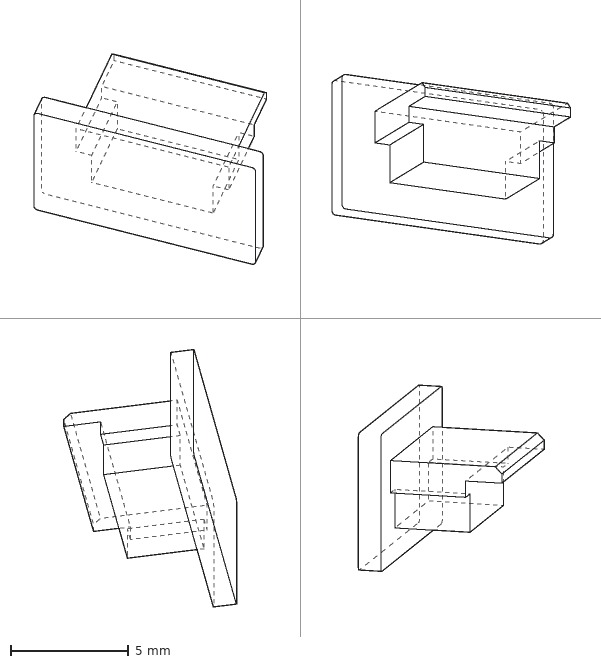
import cadquery as cq

plate_width = 10.0
plate_height = 6.0
plate_thickness = 1.0
corner_radius = 0.19

total_depth = 5.92
plug_depth = 4.32
plug_width = 6.88
lower_width = 5.48
plug_top = 4.54
tongue_thickness = 0.7
step_height = 3.13
plug_bottom = 1.45
tongue_chamfer = 0.3


def rear_block(width, bottom, top, back):
    """Block centred on X, running from the plate's rear face to the given Y."""
    length = back - plate_thickness
    return (
        cq.Workplane("XY")
        .box(width, length, top - bottom, centered=(True, False, False))
        .translate((0, plate_thickness, bottom))
    )


plate = (
    cq.Workplane("XY")
    .box(plate_width, plate_thickness, plate_height, centered=(True, False, False))
    .edges("|Y")
    .fillet(corner_radius)
)

tongue = (
    rear_block(plug_width, plug_top - tongue_thickness, plug_top, total_depth)
    .edges(">Y and >Z")
    .chamfer(tongue_chamfer)
)
upper_plug = rear_block(plug_width, step_height, plug_top, plug_depth)
lower_plug = rear_block(lower_width, plug_bottom, step_height, plug_depth)

result = plate.union(tongue).union(upper_plug).union(lower_plug)